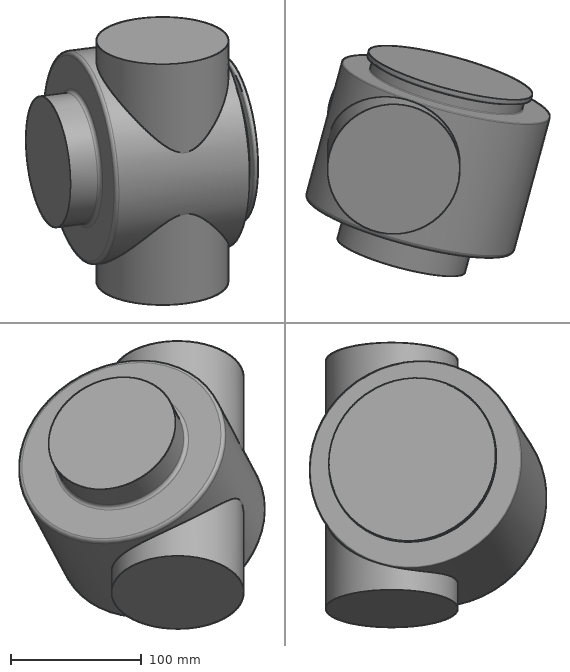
import cadquery as cq

drum_diameter = 165.0
drum_front = -58.3
drum_back = 51.4
drum_front_radius = 3.0
drum_back_radius = 0.5

pipe_diameter = 101.4
pipe_length = 197.6
pipe_offset = 27.9

spigot_front = -83.0
spigot_root_radius = 3.0

neck_diameter = 121.0
flange_diameter = 130.0
flange_back = 64.6
flange_rim_thickness = 3.8
flange_taper_length = 1.5
flange_rim_radius = 0.5
neck_root_radius = 0.5

inner_edge = cq.selectors.RadiusNthSelector(0)


def revolve_about_y(start, outline):
    """Spin a profile of (radius, y) points around the Y axis."""
    profile = cq.Workplane("XY").moveTo(0, start)
    for radius, y in outline:
        profile = profile.lineTo(radius, y)
    return profile.lineTo(0, outline[-1][1]).close().revolve(360, (0, 0), (0, 1))


def make_drum_and_spigot():
    drum_radius = drum_diameter / 2
    spigot_radius = pipe_diameter / 2
    drum = revolve_about_y(drum_front, [(drum_radius, drum_front), (drum_radius, drum_back)])
    drum = drum.faces("<Y").edges().fillet(drum_front_radius)
    drum = drum.faces(">Y").edges().fillet(drum_back_radius)
    spigot = revolve_about_y(spigot_front, [(spigot_radius, spigot_front), (spigot_radius, 0)])
    return drum.union(spigot).faces("<Y[1]").edges(inner_edge).fillet(spigot_root_radius)


def make_rear_flange():
    neck_radius = neck_diameter / 2
    flange_radius = flange_diameter / 2
    rim_front = flange_back - flange_rim_thickness
    taper_front = rim_front - flange_taper_length
    flange = revolve_about_y(
        0,
        [
            (neck_radius, 0),
            (neck_radius, taper_front),
            (flange_radius, rim_front),
            (flange_radius, flange_back),
        ],
    )
    outer_edges = cq.selectors.RadiusNthSelector(-1)
    return flange.edges("%CIRCLE").edges(outer_edges).edges("<Y").fillet(flange_rim_radius)


def make_vertical_pipe():
    pipe = cq.Workplane("XY").center(pipe_offset, 0).circle(pipe_diameter / 2)
    return pipe.extrude(pipe_length / 2, both=True)


body = make_drum_and_spigot().union(make_rear_flange())
drum_back_face = body.faces("+Y").faces("<Y")
body = drum_back_face.edges(inner_edge).fillet(neck_root_radius)

result = body.union(make_vertical_pipe())